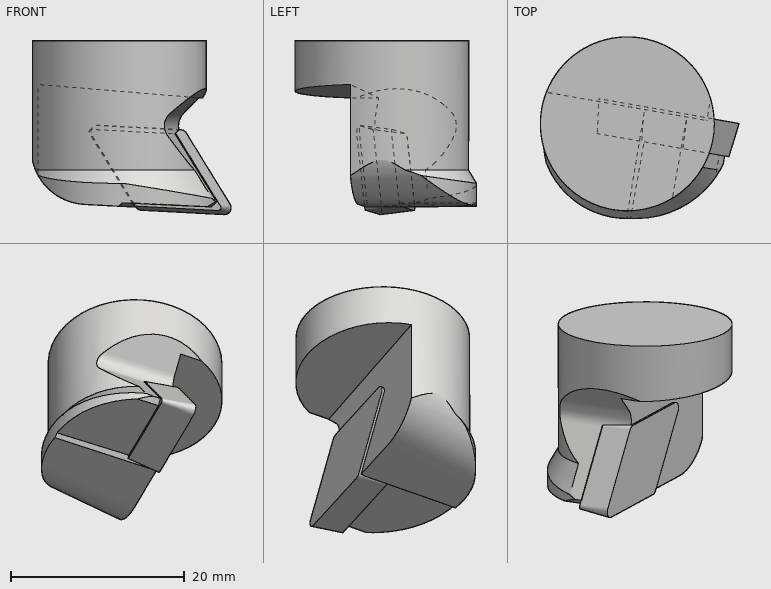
import cadquery as cq
import math

shank_diameter = 20.0
shank_radius = shank_diameter / 2
flare_top_z = -14.89
flare_angle = 30.5
head_depth = 5.72

heel_drop = 0.9
lead_radius = 11.11
lead_x = 1.03
front_y = -(shank_radius + heel_drop)
lead_y = front_y + lead_radius

end_slope = 3.0
heel_round = 6.5
heel_round_x = -3.65
heel_round_z = -12.35

rake_turn = 10.0
nose_radius = 0.8
nose_center = (12.08, 0.18, -19.2)
insert_angle = 55.0
inscribed_diameter = 9.51
insert_thickness = 3.98
clearance_angle = 7.0

floor_depth = 0.32
ceiling_half_span = 9.33
ceiling_left_z = -5.03
ceiling_right_z = -6.59
flute_root_u = -5.83
flute_root_v = 9.72
flute_radius = 2.05
flute_upper_angle = 45.0

relief_start_u = -10.52
relief_run = 0.91
relief_lift = 0.87

corner_cut_points = [(-1.07, -0.11), (0.07, 0.91), (0.69, -0.23)]

reach = 34.3

turn = math.radians(rake_turn)
slope = math.radians(end_slope)
clearance = math.radians(clearance_angle)
flank = math.radians(insert_angle + end_slope)


def insert_plane(depth=0.0):
    """Plane parallel to the rake face: u runs outwards, v up, normal into the body."""
    normal = cq.Vector(-math.sin(turn), -math.cos(turn), 0)
    origin = cq.Vector(*nose_center) + normal * depth
    return cq.Plane(origin=origin, xDir=(math.cos(turn), -math.sin(turn), 0), normal=normal)


def make_shank():
    return cq.Workplane("XY").circle(shank_radius).extrude(flare_top_z)


def make_head():
    """Eccentric head outline trimmed to the flare cone."""
    half = math.sqrt(0.5)
    outline = (
        cq.Workplane("XY", origin=(0, 0, flare_top_z))
        .moveTo(0, shank_radius)
        .threePointArc((-shank_radius * half, shank_radius * half), (-shank_radius, 0))
        .lineTo(-shank_radius, -heel_drop)
        .threePointArc((-shank_radius * half, -heel_drop - shank_radius * half), (0, front_y))
        .lineTo(lead_x, front_y)
        .threePointArc(
            (lead_x + lead_radius * half, lead_y - lead_radius * half),
            (lead_x + lead_radius, lead_y),
        )
        .close()
        .extrude(-head_depth)
    )
    cone_radius = shank_radius + head_depth * math.tan(math.radians(flare_angle))
    cone = cq.Workplane("XY").add(
        cq.Solid.makeCone(
            shank_radius, cone_radius, head_depth,
            pnt=cq.Vector(0, 0, flare_top_z), dir=cq.Vector(0, 0, -1),
        )
    )
    return outline.intersect(cone)


def make_end_envelope():
    """Space above the rounded heel and the sloping end face."""
    left_x = heel_round_x - heel_round
    tangent_x = heel_round_x - heel_round * math.sin(slope)
    tangent_z = heel_round_z - heel_round * math.cos(slope)
    middle = (math.pi + 1.5 * math.pi - slope) / 2
    return (
        cq.Workplane("XZ")
        .moveTo(left_x, 0)
        .lineTo(left_x, heel_round_z)
        .threePointArc(
            (heel_round_x + heel_round * math.cos(middle), heel_round_z + heel_round * math.sin(middle)),
            (tangent_x, tangent_z),
        )
        .lineTo(reach, tangent_z - (reach - tangent_x) * math.tan(slope))
        .lineTo(reach, 0)
        .close()
        .extrude(reach, both=True)
    )


def make_chip_pocket():
    """Everything behind the pocket floor and below its sloping ceiling."""
    ceiling_mid_z = (ceiling_left_z + ceiling_right_z) / 2
    ceiling_gradient = (ceiling_right_z - ceiling_left_z) / (2 * ceiling_half_span)
    below_ceiling = (
        cq.Workplane("XZ")
        .moveTo(-reach, ceiling_mid_z - reach * ceiling_gradient)
        .lineTo(reach, ceiling_mid_z + reach * ceiling_gradient)
        .lineTo(reach, -reach)
        .lineTo(-reach, -reach)
        .close()
        .extrude(reach, both=True)
    )
    behind_floor = cq.Workplane(insert_plane(floor_depth)).rect(4 * reach, 4 * reach).extrude(-reach)
    return below_ceiling.intersect(behind_floor)


def make_flute():
    """Rounded V square to the rake face, its lower wall parallel to the insert flank."""
    upper = math.radians(flute_upper_angle)
    root_middle = insert_plane().toWorldCoords((flute_root_u, flute_root_v, 0))
    root = (flute_root_u, flute_root_v)
    upper_end = (flute_root_u + reach * math.cos(upper), flute_root_v + reach * math.sin(upper))
    lower_end = (flute_root_u + reach * math.cos(flank), flute_root_v - reach * math.sin(flank))
    return (
        cq.Workplane(insert_plane())
        .polyline([root, upper_end, lower_end])
        .close()
        .extrude(reach, both=True)
        .edges(cq.selectors.NearestToPointSelector(root_middle.toTuple()))
        .fillet(flute_radius)
    )


def make_relief():
    """Clearance cut under the insert, square to the rake face."""
    def edge_v(u):
        return -nose_radius - u * math.tan(slope)

    lifted_u = relief_start_u + relief_run
    return (
        cq.Workplane(insert_plane())
        .moveTo(relief_start_u, -reach)
        .lineTo(relief_start_u, edge_v(relief_start_u))
        .lineTo(lifted_u, edge_v(lifted_u) + relief_lift)
        .lineTo(reach, edge_v(reach) + relief_lift)
        .lineTo(reach, -reach)
        .close()
        .extrude(reach)
    )


def make_corner_cut():
    """Prism that blunts the sharp tip left between the flute and the relief."""
    return cq.Workplane(insert_plane()).polyline(corner_cut_points).close().extrude(reach)


def make_insert():
    """Rounded rhombus lofted from the rake face to the smaller seat face."""
    side = (inscribed_diameter - 2 * nose_radius) / math.sin(math.radians(insert_angle))
    bottom_step = (-side * math.cos(slope), side * math.sin(slope))
    flank_step = (-side * math.cos(flank), side * math.sin(flank))
    far_corner = (bottom_step[0] + flank_step[0], bottom_step[1] + flank_step[1])
    corner_centers = [(0, 0), bottom_step, far_corner, flank_step]
    seat_radius = nose_radius - insert_thickness * math.tan(clearance)

    def outline(depth, radius):
        return cq.Workplane(insert_plane(depth)).polyline(corner_centers).close().offset2D(radius).val()

    return cq.Solid.makeLoft([outline(0, nose_radius), outline(insert_thickness, seat_radius)], True)


insert = cq.Workplane("XY").add(make_insert())
body = (
    make_shank()
    .union(make_head())
    .intersect(make_end_envelope())
    .cut(make_chip_pocket())
    .cut(make_flute())
    .cut(make_relief())
    .cut(make_corner_cut())
    .cut(insert)
)

result = cq.Compound.makeCompound([body.val(), insert.val()])